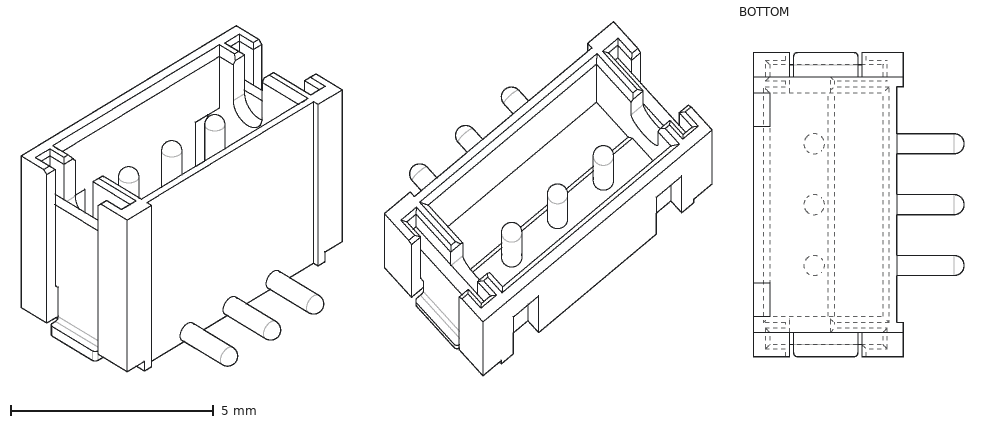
import cadquery as cq

body_x = 3.7
body_y = 7.5
body_z = 5.0

cavity_left = 0.405
cavity_right = 3.195
cavity_half_y = 2.75
cavity_lead_in = 0.15
cavity_lead_in_depth = 0.2
floor_z = 1.79
step_left = 1.845
step_right = 2.0
step_depth = 0.3

back_recess = 0.16
back_recess_half_y = cavity_half_y + cavity_lead_in

slot_inner_y = 3.15
slot_outer_y = 3.45
slot_floor_z = 3.8
edge_chamfer = 0.105

notch_left = 0.89
notch_right = 2.68
key_left = notch_left
key_width = 1.005
key_axis_z = 3.7

window_inner_y = 1.93
window_z = 3.2

foot_height = 0.3
relief_width = 0.1
relief_z = 1.3
foot_outer_y = body_y / 2
foot_corner_radius = 0.1
foot_root_radius = 0.1
foot_heel_radius = 0.29

pin_count = 3
pin_pitch = 1.5
pin_diameter = 0.5
pin_radius = pin_diameter / 2
pin_x = 1.5
pin_tip_z = 4.2
pin_tip_x = 5.2


def box(x0, x1, y0, y1, z0, z1):
    """Axis-aligned box between the given limits."""
    return cq.Workplane("XY").box(x1 - x0, y1 - y0, z1 - z0, centered=False).translate((x0, y0, z0))


def flared_pocket(x0, x1, y0, y1, z0, flare, flare_depth):
    """Pocket cutter from z0 to the top face, widened by a lead-in at its mouth."""
    pocket = box(x0, x1, y0, y1, z0, body_z)
    mouth = (
        cq.Workplane("XY")
        .workplane(offset=body_z - flare_depth)
        .center((x0 + x1) / 2, (y0 + y1) / 2)
        .rect(x1 - x0, y1 - y0)
        .workplane(offset=flare_depth)
        .rect(x1 - x0 + 2 * flare, y1 - y0 + 2 * flare)
        .loft(ruled=True)
    )
    return pocket.union(mouth)


def flared_notch(x0, x1, y0, y1, z0):
    """Notch cutter running along Y, with its two top edges chamfered."""
    shoulder = body_z - edge_chamfer
    outline = [
        (x0, z0),
        (x1, z0),
        (x1, shoulder),
        (x1 + edge_chamfer, body_z),
        (x0 - edge_chamfer, body_z),
        (x0, shoulder),
    ]
    return cq.Workplane("XZ", origin=(0, y1, 0)).polyline(outline).close().extrude(y1 - y0)


def cavity():
    """Main cavity with a lower floor towards +X, reached by a sloped step."""
    cutter = flared_pocket(
        cavity_left,
        cavity_right,
        -cavity_half_y,
        cavity_half_y,
        floor_z,
        cavity_lead_in,
        cavity_lead_in_depth,
    )
    low_z = floor_z - step_depth
    outline = [(step_left, floor_z), (step_right, low_z), (cavity_right, low_z), (cavity_right, floor_z)]
    low_floor = (
        cq.Workplane("XZ", origin=(0, cavity_half_y, 0)).polyline(outline).close().extrude(2 * cavity_half_y)
    )
    return cutter.union(low_floor)


def end_cuts():
    """Everything removed at the +Y end of the housing."""
    half_y = body_y / 2
    key_radius = key_width / 2
    slot = flared_pocket(
        cavity_left, cavity_right, slot_inner_y, slot_outer_y, slot_floor_z, edge_chamfer, edge_chamfer
    )
    outer_notch = flared_notch(notch_left, notch_right, slot_outer_y, half_y, 0)
    keyway = flared_notch(key_left, key_left + key_width, cavity_half_y, slot_inner_y, key_axis_z)
    key_bottom = (
        cq.Workplane("XZ", origin=(key_left + key_radius, slot_inner_y, key_axis_z))
        .circle(key_radius)
        .extrude(slot_inner_y - cavity_half_y)
    )
    underside = box(0, body_x, slot_inner_y, half_y, 0, foot_height)
    window = box(0, cavity_left, window_inner_y, cavity_half_y, 0, window_z)
    cuts = slot.union(outer_notch).union(keyway).union(key_bottom).union(underside).union(window)
    for x0 in (notch_left, notch_right - relief_width):
        cuts = cuts.union(box(x0, x0 + relief_width, slot_inner_y, slot_outer_y, 0, relief_z))
    return cuts


def latch_foot():
    """Foot at the +Y end: rounded corners, rounded heel and a fillet into the end wall."""
    x0 = notch_left + relief_width
    x1 = notch_right - relief_width
    plate = box(x0, x1, slot_inner_y, foot_outer_y, 0, foot_height)
    plate = plate.edges("|Z and >Y").fillet(foot_corner_radius)
    plate = plate.edges("|X and <Y and <Z").fillet(foot_heel_radius)
    root = (
        cq.Workplane("YZ", origin=(x0, slot_outer_y, foot_height))
        .lineTo(foot_root_radius, 0)
        .radiusArc((0, foot_root_radius), foot_root_radius)
        .close()
        .extrude(x1 - x0)
    )
    return plate.union(root)


def pin(y):
    """Right-angle contact pin with hemispherical tips."""
    post_end = pin_tip_z - pin_radius
    tail_end = pin_tip_x - pin_radius
    post = cq.Workplane("XY", origin=(pin_x, y, pin_radius)).circle(pin_radius).extrude(post_end - pin_radius)
    tail = cq.Workplane("YZ", origin=(pin_x, y, pin_radius)).circle(pin_radius).extrude(tail_end - pin_x)
    post_tip = cq.Workplane("XY", origin=(pin_x, y, post_end)).sphere(pin_radius)
    tail_tip = cq.Workplane("XY", origin=(tail_end, y, pin_radius)).sphere(pin_radius)
    return post.union(tail).union(post_tip).union(tail_tip)


housing = box(0, body_x, -body_y / 2, body_y / 2, 0, body_z)
housing = housing.cut(cavity())
housing = housing.cut(
    box(body_x - back_recess, body_x, -back_recess_half_y, back_recess_half_y, 0, body_z)
)

cuts = end_cuts()
foot = latch_foot()
housing = housing.cut(cuts).cut(cuts.mirror("XZ"))
housing = housing.union(foot).union(foot.mirror("XZ"))

result = housing
for i in range(pin_count):
    result = result.union(pin((i - (pin_count - 1) / 2) * pin_pitch))